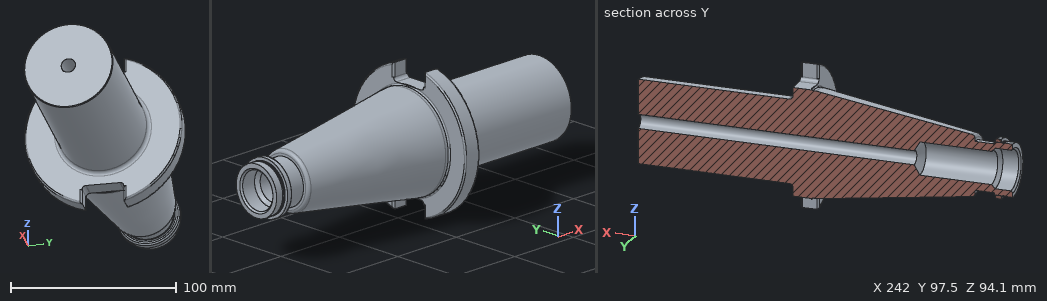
import cadquery as cq
import math


total_length = 242.0
tip_groove_start = 5.2
tip_groove_width = 1.5
ring_start = 7.3
ring_length = 4.3
tip_rear_cone_length = 0.6
neck_start = ring_start + ring_length + tip_rear_cone_length
taper_start = 24.3
gauge_plane = 126.8
flange_start = gauge_plane + 3.2
flange_thickness = 12.0
flange_end = flange_start + flange_thickness

tip_radius = 17.4
tip_rear_radius = 16.6
neck_radius = 16.0
ring_radius = 19.5
gauge_radius = 69.85 / 2
flange_radius = 97.5 / 2
shank_radius = 55.0 / 2
taper_slope = 7 / 24 / 2
taper_start_radius = gauge_radius - taper_slope * (gauge_plane - taper_start)

tip_groove_depth = 0.3
ring_chamfer = 1.0
taper_nose_fillet = 2.5
gauge_fillet = 1.0
flange_fillet = 1.0
shank_root_fillet = 2.5
shank_end_chamfer = 0.5

entry_radius = 13.0
entry_chamfer = 1.2
entry_depth = 11.4
thread_bore_radius = 10.6
thread_bore_end = 60.0
through_radius = 4.4
drill_tip_angle = 118.0

slot_width = 25.7
slot_floor_height = 35.3
slot_corner_radius = 2.3
slot_edge_chamfer = 1.3


def edge_circle(x, radius):
    """Selector for the circular edge of the given radius centred on the axis at x."""
    margin = 0.01
    inner = radius - margin
    outer = radius + margin
    within_outer = cq.selectors.BoxSelector(
        (x - margin, -outer, -outer), (x + margin, outer, outer), boundingbox=True
    )
    within_inner = cq.selectors.BoxSelector(
        (x - margin, -inner, -inner), (x + margin, inner, inner), boundingbox=True
    )
    return within_outer - within_inner


def make_outside():
    profile = (
        cq.Workplane("XZ")
        .moveTo(0, 0)
        .lineTo(0, tip_radius)
        .lineTo(tip_groove_start, tip_radius)
        .lineTo(tip_groove_start + tip_groove_depth, tip_radius - tip_groove_depth)
        .lineTo(tip_groove_start + tip_groove_width - tip_groove_depth, tip_radius - tip_groove_depth)
        .lineTo(tip_groove_start + tip_groove_width, tip_radius)
        .lineTo(ring_start + ring_length, tip_radius)
        .lineTo(neck_start, tip_rear_radius)
        .lineTo(neck_start, neck_radius)
        .lineTo(taper_start, neck_radius)
        .lineTo(taper_start, taper_start_radius)
        .lineTo(gauge_plane, gauge_radius)
        .lineTo(flange_start, gauge_radius)
        .lineTo(flange_start, flange_radius)
        .lineTo(flange_end, flange_radius)
        .lineTo(flange_end, shank_radius)
        .lineTo(total_length, shank_radius)
        .lineTo(total_length, 0)
        .close()
    )
    outside = profile.revolve(360, (0, 0, 0), (1, 0, 0))
    outside = outside.edges(edge_circle(taper_start, taper_start_radius)).fillet(taper_nose_fillet)
    outside = outside.edges(edge_circle(flange_start, gauge_radius)).fillet(gauge_fillet)
    outside = outside.edges(edge_circle(flange_end, shank_radius)).fillet(shank_root_fillet)
    for x in (flange_start, flange_end):
        outside = outside.edges(edge_circle(x, flange_radius)).fillet(flange_fillet)
    return outside.faces(">X").edges().chamfer(shank_end_chamfer)


def make_bore():
    """Stepped bore: chamfered entry, lead-in cone, thread bore with a drill-point end, through hole."""
    lead_in_end = entry_depth + (entry_radius - thread_bore_radius)
    drill_point = (thread_bore_radius - through_radius) / math.tan(math.radians(drill_tip_angle / 2))
    return (
        cq.Workplane("XZ")
        .moveTo(0, 0)
        .lineTo(0, entry_radius + entry_chamfer)
        .lineTo(entry_chamfer, entry_radius)
        .lineTo(entry_depth, entry_radius)
        .lineTo(lead_in_end, thread_bore_radius)
        .lineTo(thread_bore_end, thread_bore_radius)
        .lineTo(thread_bore_end + drill_point, through_radius)
        .lineTo(total_length, through_radius)
        .lineTo(total_length, 0)
        .close()
        .revolve(360, (0, 0, 0), (1, 0, 0))
    )


def make_slot():
    """Cutter for the driving slot on +Z: rounded floor corners, wall edges chamfered at both flange faces."""
    half_width = slot_width / 2
    slot_height = flange_radius - slot_floor_height
    slot = (
        cq.Workplane("XY")
        .box(flange_thickness, slot_width, slot_height, centered=(False, True, False))
        .translate((flange_start, 0, slot_floor_height))
        .edges("|X and <Z")
        .fillet(slot_corner_radius)
    )
    flared_width = half_width + slot_edge_chamfer
    flare = (
        cq.Workplane("XY")
        .workplane(offset=slot_floor_height + slot_corner_radius)
        .moveTo(flange_start, -flared_width)
        .lineTo(flange_start + slot_edge_chamfer, -half_width)
        .lineTo(flange_end - slot_edge_chamfer, -half_width)
        .lineTo(flange_end, -flared_width)
        .lineTo(flange_end, flared_width)
        .lineTo(flange_end - slot_edge_chamfer, half_width)
        .lineTo(flange_start + slot_edge_chamfer, half_width)
        .lineTo(flange_start, flared_width)
        .close()
        .extrude(slot_height)
    )
    return slot.union(flare)


def make_holder():
    holder = make_outside().cut(make_bore())
    slot = make_slot()
    for angle in (0, 180):
        holder = holder.cut(slot.rotate((0, 0, 0), (1, 0, 0), angle))
    return holder


def make_collar_ring():
    """Ring seated on the tail tip, chamfered on its rear outer edge."""
    ring = cq.Workplane("YZ").workplane(offset=ring_start).circle(ring_radius).extrude(ring_length)
    ring = ring.faces(">X").edges().chamfer(ring_chamfer)
    tip = cq.Workplane("YZ").workplane(offset=ring_start).circle(tip_radius).extrude(ring_length)
    return ring.cut(tip)


holder = make_holder()
collar_ring = make_collar_ring()

result = cq.Compound.makeCompound([holder.val(), collar_ring.val()])